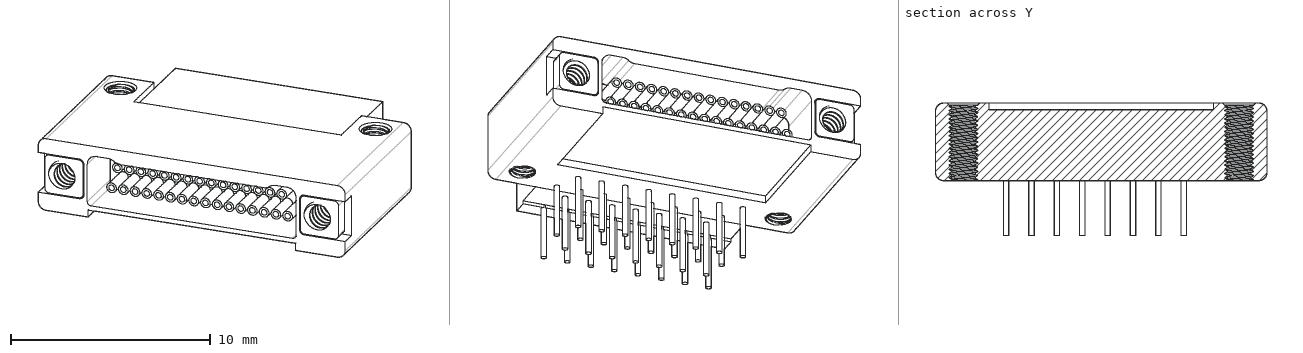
import cadquery as cq

SHELL_WIDTH = 16.61
SHELL_DEPTH = 8.72
SHELL_HEIGHT = 3.9
SHELL_EDGE_RADIUS = 0.43

BLOCK_WIDTH = 11.22
BLOCK_FRONT = 6.05
BLOCK_BACK = 11.54
BLOCK_TOP = 3.56
UNDERCUT_HEIGHT = 0.165
FOOT_DEPTH = 0.86
NOTCH_HEIGHT = 0.385

MOUTH_HALF_WIDTH = 5.65
MOUTH_BOTTOM = 0.64
MOUTH_TOP = 3.14
MOUTH_DEPTH = 3.0
MOUTH_LOWER_RADIUS = 0.2
LOBE_TOP = 3.37
LOBE_RADIUS = 0.5
LOBE_FLAT_END = 4.53
LOBE_END = 3.89

PLATE_CLEARANCE = 0.2
PLATE_BOTTOM = 0.81
PLATE_TOP = 3.08
PLATE_FRONT = 2.6
PLATE_UPPER_RADIUS = 0.35
PLATE_LOWER_RADIUS = 0.2

CONTACT_PITCH = 0.635
CONTACT_ROWS = ((15, 2.46), (16, 1.325))
CONTACT_FRONT = 1.04
CONTACT_DIAMETER = 0.52
CONTACT_BORE = 0.3
CONTACT_BORE_DEPTH = 1.0

PIN_DIAMETER = 0.28
PIN_LENGTH = 2.74
PIN_ROOT = 0.4
PIN_ROW_PITCH = 1.27
REAR_PIN_SETBACK = 0.73

NUT_X = 6.91
NUT_Z = 2.005
NUT_WIDTH = 2.06
NUT_RADIUS = 0.22
NUT_GAP = 0.05
NUT_DEPTH = 0.83
NUT_HOLE_DEPTH = 3.0
NUT_THREAD_PITCH = 0.35
NUT_THREAD_MAJOR_RADIUS = 0.84

MOUNT_X = 6.9
MOUNT_Y = 7.42
COUNTERSINK_DIAMETER = 1.64
COUNTERSINK_DEPTH = 0.11
MOUNT_THREAD_PITCH = 0.21
MOUNT_THREAD_MAJOR_RADIUS = 0.72

THREAD_MINOR_RADIUS = 0.59
THREAD_CREST_WIDTH = 0.04
THREAD_OVERLAP = 0.03

SIDES = (-1, 1)


def front_plane(y):
    """XZ sketch plane at depth y; a negative extrusion goes back along +Y."""
    return cq.Workplane("XZ", origin=(0, y, 0))


def box(x_size, y_range, z_range):
    """Box centred on X = 0 and spanning the given Y and Z ranges."""
    y_start, y_end = y_range
    z_start, z_end = z_range
    return cq.Workplane("XY").box(
        x_size, y_end - y_start, z_end - z_start, centered=(True, False, False)
    ).translate((0, y_start, z_start))


def make_shell():
    shell = box(SHELL_WIDTH, (0, SHELL_DEPTH), (0, SHELL_HEIGHT))
    shell = shell.edges("|Y").fillet(SHELL_EDGE_RADIUS)
    notch = box(BLOCK_WIDTH, (0, BLOCK_FRONT), (0, NOTCH_HEIGHT))
    bay = box(BLOCK_WIDTH, (BLOCK_FRONT, SHELL_DEPTH), (0, SHELL_HEIGHT))
    return shell.cut(notch).cut(bay)


def make_block():
    """Block rising from the board face, undercut between the shell and its rear foot."""
    block = box(BLOCK_WIDTH, (BLOCK_FRONT, BLOCK_BACK), (0, BLOCK_TOP))
    undercut = box(BLOCK_WIDTH, (SHELL_DEPTH, BLOCK_BACK - FOOT_DEPTH), (0, UNDERCUT_HEIGHT))
    return block.cut(undercut)


def make_mouth():
    lobe_start = MOUTH_HALF_WIDTH - LOBE_RADIUS
    lobe_side = LOBE_TOP - LOBE_RADIUS
    shoulder_x = (LOBE_FLAT_END + LOBE_END) / 2
    shoulder_z = (LOBE_TOP + MOUTH_TOP) / 2
    mouth = (
        front_plane(0)
        .moveTo(-MOUTH_HALF_WIDTH, MOUTH_BOTTOM)
        .lineTo(-MOUTH_HALF_WIDTH, lobe_side)
        .tangentArcPoint((-lobe_start, LOBE_TOP), relative=False)
        .lineTo(-LOBE_FLAT_END, LOBE_TOP)
        .tangentArcPoint((-shoulder_x, shoulder_z), relative=False)
        .tangentArcPoint((-LOBE_END, MOUTH_TOP), relative=False)
        .lineTo(LOBE_END, MOUTH_TOP)
        .tangentArcPoint((shoulder_x, shoulder_z), relative=False)
        .tangentArcPoint((LOBE_FLAT_END, LOBE_TOP), relative=False)
        .lineTo(lobe_start, LOBE_TOP)
        .tangentArcPoint((MOUTH_HALF_WIDTH, lobe_side), relative=False)
        .lineTo(MOUTH_HALF_WIDTH, MOUTH_BOTTOM)
        .close()
        .extrude(-MOUTH_DEPTH)
    )
    return mouth.edges("|Y and <Z").fillet(MOUTH_LOWER_RADIUS)


def make_plate():
    width = 2 * (MOUTH_HALF_WIDTH - PLATE_CLEARANCE)
    plate = box(width, (PLATE_FRONT, MOUTH_DEPTH), (PLATE_BOTTOM, PLATE_TOP))
    plate = plate.edges("|Y and >Z").fillet(PLATE_UPPER_RADIUS)
    return plate.edges("|Y and <Z").fillet(PLATE_LOWER_RADIUS)


def contact_positions(count):
    """X positions of a centred row of contacts."""
    return [(i - (count - 1) / 2) * CONTACT_PITCH for i in range(count)]


def make_contacts():
    points = [(x, z) for count, z in CONTACT_ROWS for x in contact_positions(count)]
    tubes = front_plane(CONTACT_FRONT).pushPoints(points)
    tubes = tubes.circle(CONTACT_DIAMETER / 2).extrude(-(MOUTH_DEPTH - CONTACT_FRONT))
    bores = front_plane(CONTACT_FRONT).pushPoints(points)
    bores = bores.circle(CONTACT_BORE / 2).extrude(-CONTACT_BORE_DEPTH)
    return tubes.cut(bores)


def make_pins():
    """Upper contacts feed the two rear pin rows, lower contacts the two front ones."""
    points = []
    for row, (count, _) in enumerate(CONTACT_ROWS):
        for i, x in enumerate(contact_positions(count)):
            pin_row = 2 * row + i % 2
            points.append((x, BLOCK_BACK - REAR_PIN_SETBACK - pin_row * PIN_ROW_PITCH))
    pins = cq.Workplane("XY", origin=(0, 0, -PIN_LENGTH)).pushPoints(points)
    return pins.circle(PIN_DIAMETER / 2).extrude(PIN_LENGTH + PIN_ROOT)


def make_threaded_hole(length, pitch, major_radius):
    """Cutter along +Z from the origin: bore with a helical V groove crossing +Y at Z = 0.

    The cutter runs past both ends so that the groove breaks through the faces.
    """
    bore = cq.Workplane("XY", origin=(0, 0, -pitch / 4)).circle(THREAD_MINOR_RADIUS)
    bore = bore.extrude(length + pitch / 2)
    inner_radius = THREAD_MINOR_RADIUS - THREAD_OVERLAP
    half_groove = (pitch - THREAD_CREST_WIDTH) / 2
    path = cq.Wire.makeHelix(pitch, length + pitch, THREAD_MINOR_RADIUS)
    groove = (
        cq.Workplane("XZ")
        .moveTo(inner_radius, -half_groove)
        .lineTo(major_radius, 0)
        .lineTo(inner_radius, half_groove)
        .close()
        .sweep(cq.Workplane(path), isFrenet=True)
        .translate((0, 0, -pitch))
        .rotate((0, 0, 0), (0, 0, 1), 90)
    )
    return bore.union(groove)


def nut_profile(growth):
    """Rounded square around the nut, grown by growth on every side."""
    size = NUT_WIDTH + 2 * growth
    nut = cq.Workplane("XY").box(size, NUT_DEPTH, size)
    return nut.edges("|Y").fillet(NUT_RADIUS + growth)


def make_nut_pocket(side):
    """Pocket around one nut, running out through the side of the shell."""
    pocket = nut_profile(NUT_GAP).translate((side * NUT_X, NUT_DEPTH / 2, NUT_Z))
    reach = SHELL_WIDTH / 2 - NUT_X
    channel = cq.Workplane("XY").box(reach, NUT_DEPTH, NUT_WIDTH + 2 * NUT_GAP)
    channel = channel.translate((side * (NUT_X + reach / 2), NUT_DEPTH / 2, NUT_Z))
    return pocket.union(channel)


def make_nut(side):
    return nut_profile(0).translate((side * NUT_X, NUT_DEPTH / 2, NUT_Z))


def make_nut_hole():
    """Threaded cutter along +Y whose groove meets the nut face on the -X side."""
    hole = make_threaded_hole(NUT_HOLE_DEPTH, NUT_THREAD_PITCH, NUT_THREAD_MAJOR_RADIUS)
    return hole.rotate((0, 0, 0), (0, 0, 1), 90).rotate((0, 0, 0), (1, 0, 0), -90)


def make_countersink():
    top_radius = COUNTERSINK_DIAMETER / 2
    return (
        cq.Workplane("XY", origin=(0, 0, SHELL_HEIGHT))
        .circle(top_radius)
        .workplane(offset=-COUNTERSINK_DEPTH)
        .circle(top_radius - COUNTERSINK_DEPTH)
        .loft()
    )


result = make_shell().union(make_block()).cut(make_mouth())
result = result.union(make_plate()).union(make_contacts()).union(make_pins())

nut_hole = make_nut_hole()
mount_hole = make_threaded_hole(SHELL_HEIGHT, MOUNT_THREAD_PITCH, MOUNT_THREAD_MAJOR_RADIUS)
for end in SIDES:
    result = result.cut(make_nut_pocket(end)).union(make_nut(end))
    result = result.cut(nut_hole.translate((end * NUT_X, 0, NUT_Z)))
    result = result.cut(mount_hole.translate((end * MOUNT_X, MOUNT_Y, 0)))
    result = result.cut(make_countersink().translate((end * MOUNT_X, MOUNT_Y, 0)))